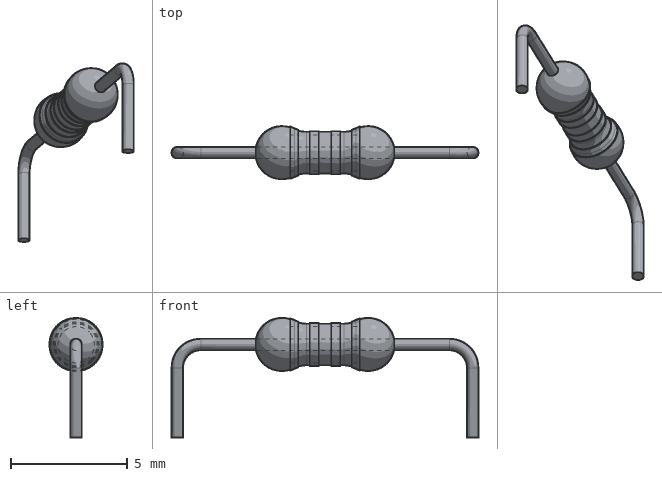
import cadquery as cq
import math


wire_diameter = 0.5
lead_pitch = 12.7
lead_drop = 4.0
bend_radius = 1.0

body_length = 6.0
ball_radius = 2.3 / 2
neck_radius = 1.8 / 2
blend_radius = 1.2

band_bore_radius = 1.56 / 2
band_height = 1.86 / 2 - neck_radius
inner_band = (0.26, 0.66)
outer_band = (1.14, 1.50)

ball_center_x = body_length / 2 - ball_radius
center_distance = ball_radius + blend_radius
blend_center_r = neck_radius + blend_radius
blend_span = math.sqrt(center_distance**2 - blend_center_r**2)
blend_center_x = ball_center_x - blend_span


def body_blank(growth=0.0):
    """Solid of the body outline, grown outward by the given amount."""
    ball = ball_radius + growth
    blend = blend_radius - growth
    neck = neck_radius + growth
    touch_x = ball_center_x - ball * blend_span / center_distance
    touch_r = ball * blend_center_r / center_distance

    line_angle = math.atan2(blend_center_r, -blend_span)
    ball_angle = line_angle / 2
    blend_angle = (line_angle - math.pi - math.pi / 2) / 2
    blend_mid = (
        blend_center_x + blend * math.cos(blend_angle),
        blend_center_r + blend * math.sin(blend_angle),
    )
    ball_mid = (
        ball_center_x + ball * math.cos(ball_angle),
        ball * math.sin(ball_angle),
    )

    def mirrored(point):
        return (-point[0], point[1])

    tip = (ball_center_x + ball, 0)
    touch = (touch_x, touch_r)
    neck_end = (blend_center_x, neck)
    outline = (
        cq.Workplane("XZ")
        .moveTo(*mirrored(tip))
        .threePointArc(mirrored(ball_mid), mirrored(touch))
        .threePointArc(mirrored(blend_mid), mirrored(neck_end))
        .lineTo(*neck_end)
        .threePointArc(blend_mid, touch)
        .threePointArc(ball_mid, tip)
        .close()
    )
    return outline.revolve(360, (0, 0, 0), (1, 0, 0))


def band_ring(start_x, end_x):
    """Ring around the X axis with the band bore, wide enough to reach outside the body."""
    return (
        cq.Workplane("YZ", origin=(start_x, 0, 0))
        .circle(2 * ball_radius)
        .circle(band_bore_radius)
        .extrude(end_x - start_x)
    )


def make_bands():
    """Four colour bands whose outside follows the body outline."""
    grown_body = body_blank(band_height)
    bands = []
    for near, far in (inner_band, outer_band):
        for start_x, end_x in ((-far, -near), (near, far)):
            ring = band_ring(start_x, end_x)
            bands.append(ring.intersect(grown_body))
    return bands


def make_lead():
    """One bent wire running from foot to foot through the body."""
    leg_x = lead_pitch / 2
    bend_x = leg_x - bend_radius
    bend_mid_x = bend_x + bend_radius * math.sin(math.pi / 4)
    bend_mid_z = bend_radius * math.cos(math.pi / 4) - bend_radius
    path = (
        cq.Workplane("XZ")
        .moveTo(-leg_x, -lead_drop)
        .lineTo(-leg_x, -bend_radius)
        .threePointArc((-bend_mid_x, bend_mid_z), (-bend_x, 0))
        .lineTo(bend_x, 0)
        .threePointArc((bend_mid_x, bend_mid_z), (leg_x, -bend_radius))
        .lineTo(leg_x, -lead_drop)
    )
    foot = cq.Workplane("XY", origin=(-leg_x, 0, -lead_drop)).circle(wire_diameter / 2)
    return foot.sweep(path)


def make_body(lead, bands):
    """Resistor body with the lead hole and the band grooves."""
    body = body_blank().cut(lead)
    for band in bands:
        body = body.cut(band)
    return body


lead = make_lead()
bands = make_bands()
body = make_body(lead, bands)

result = cq.Compound.makeCompound(
    [body.solids().val(), lead.solids().val(), *[band.solids().val() for band in bands]]
)